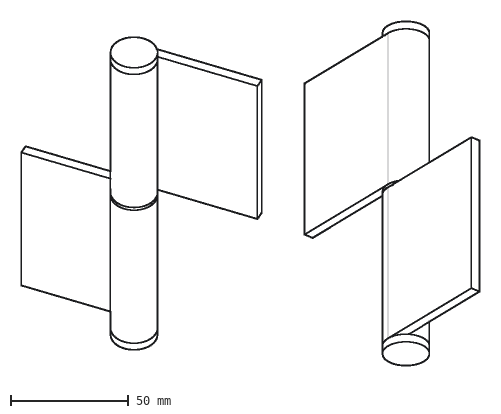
import cadquery as cq

barrel_diameter = 20.0
overall_width = 110.0
overall_height = 158.0
leaf_thickness = 4.5
washer_thickness = 1.5
cap_thickness = 3.75

barrel_radius = barrel_diameter / 2
leaf_reach = overall_width / 2
leaf_height = (overall_height - washer_thickness) / 2 - cap_thickness


def disc(bottom, height):
    """Cylinder of the barrel diameter standing on the plane Z = bottom."""
    return cq.Workplane("XY", origin=(0, 0, bottom)).circle(barrel_radius).extrude(height)


def make_leaf(side, bottom):
    """Barrel with a flat plate tangent to its back, reaching toward +X (side 1) or -X (side -1)."""
    plate = (
        cq.Workplane("XY", origin=(side * leaf_reach / 2, barrel_radius - leaf_thickness / 2, bottom))
        .rect(leaf_reach, leaf_thickness)
        .extrude(leaf_height)
    )
    return disc(bottom, leaf_height).union(plate)


washer = disc(-washer_thickness / 2, washer_thickness)

upper_leaf = make_leaf(1, washer_thickness / 2)
lower_leaf = make_leaf(-1, -washer_thickness / 2 - leaf_height)

cap_bottoms = (overall_height / 2 - cap_thickness, -overall_height / 2)
caps = [disc(bottom, cap_thickness) for bottom in cap_bottoms]

result = cq.Compound.makeCompound(
    [upper_leaf.val(), lower_leaf.val(), washer.val(), *[cap.val() for cap in caps]]
)